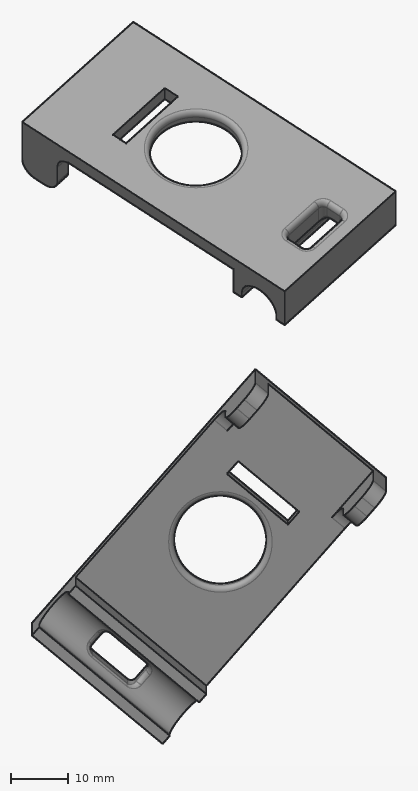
import cadquery as cq

length = 60.0
width = 30.0
plate_thickness = 3.0
total_height = 13.0

leg_length = 8.05
leg_thickness = 3.0
leg_radius = 3.0

block_length = 11.75
block_height = 9.1
notch_width = 7.85
notch_roof_depth = 4.0

hole_diameter = 16.0
hole_x = 27.0
slot_length = 3.0
slot_width = 14.0
slot_x = 15.5
window_length = 5.0
window_width = 10.0
window_corner_radius = 1.0
rim_radius = 1.0

block_x = length - block_length / 2


def make_plate():
    return cq.Workplane("XY").box(
        length, width, plate_thickness, centered=(False, True, False)
    ).translate((0, 0, -plate_thickness))


def make_leg(back_y):
    """Leg with a rounded foot and a concave fillet into the plate."""
    return (
        cq.Workplane("XZ", origin=(0, back_y, 0))
        .lineTo(0, leg_radius - total_height)
        .radiusArc((leg_radius, -total_height), -leg_radius)
        .lineTo(leg_length - leg_radius, -total_height)
        .radiusArc((leg_length, leg_radius - total_height), -leg_radius)
        .lineTo(leg_length, -plate_thickness - leg_radius)
        .radiusArc((leg_length + leg_radius, -plate_thickness), leg_radius)
        .lineTo(leg_length + leg_radius, 0)
        .close()
        .extrude(leg_thickness)
    )


def make_block():
    block = cq.Workplane("XY").box(
        block_length, width, block_height
    ).translate((block_x, 0, -block_height / 2))
    notch_radius = notch_width / 2
    spring_z = -notch_roof_depth - notch_radius
    notch = (
        cq.Workplane("XZ", origin=(block_x, width / 2, 0))
        .moveTo(-notch_radius, -block_height)
        .lineTo(-notch_radius, spring_z)
        .threePointArc((0, -notch_roof_depth), (notch_radius, spring_z))
        .lineTo(notch_radius, -block_height)
        .close()
        .extrude(width)
    )
    return block.cut(notch)


def cut_openings(body):
    """Cut the hole and window, round their top and bottom rims, then cut the plain slot."""
    hole = cq.Workplane("XY").center(hole_x, 0).circle(hole_diameter / 2).extrude(-total_height)
    window = (
        cq.Workplane("XY")
        .center(block_x, 0)
        .rect(window_length, window_width)
        .extrude(-total_height)
        .edges("|Z")
        .fillet(window_corner_radius)
    )
    slot = cq.Workplane("XY").center(slot_x, 0).rect(slot_length, slot_width).extrude(-total_height)
    body = body.cut(hole).cut(window)
    rims = [rim for face in body.faces().vals() for rim in face.innerWires()]
    rim_edges = [edge for rim in rims for edge in rim.Edges()]
    return body.newObject(rim_edges).fillet(rim_radius).cut(slot)


body = make_plate().union(make_block())
for leg_back_y in (-width / 2 + leg_thickness, width / 2):
    body = body.union(make_leg(leg_back_y))

result = cut_openings(body.clean())